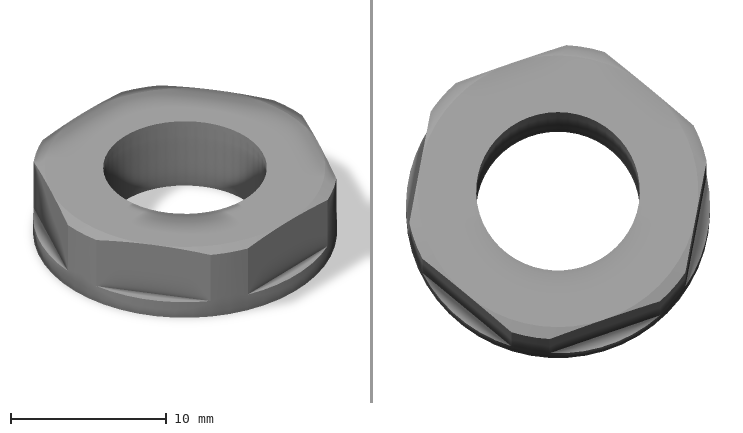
import cadquery as cq
import math

outer_diameter = 19.5
across_flats = 18.0
bore_diameter = 10.5
height = 5.0
flange_height = 1.2
chamfer_angle = 15.0
side_count = 6

chamfer_width = (outer_diameter - across_flats) / 2
chamfer_drop = chamfer_width * math.tan(math.radians(chamfer_angle))
across_corners = across_flats / math.cos(math.pi / side_count)


def turned_blank():
    """Round body with a shallow conical chamfer around its top edge."""
    outer_radius = outer_diameter / 2
    profile = (
        cq.Workplane("XZ")
        .moveTo(0, 0)
        .lineTo(outer_radius, 0)
        .lineTo(outer_radius, height - chamfer_drop)
        .lineTo(across_flats / 2, height)
        .lineTo(0, height)
        .close()
    )
    return profile.revolve(360, (0, 0, 0), (0, 1, 0))


def wrench_envelope():
    """Full round flange below a hexagon with flats facing +Y and -Y."""
    flange = cq.Workplane("XY").circle(outer_diameter / 2).extrude(flange_height)
    hexagon = cq.Workplane("XY").polygon(side_count, across_corners).extrude(height)
    return flange.union(hexagon)


bore = cq.Workplane("XY").circle(bore_diameter / 2).extrude(height)

result = turned_blank().intersect(wrench_envelope()).cut(bore)